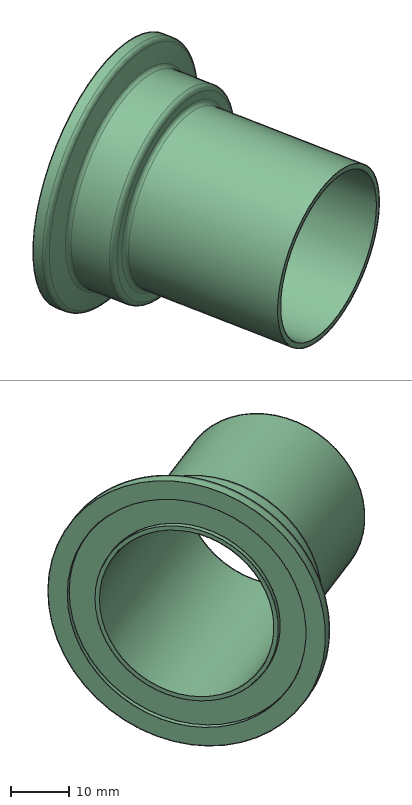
import cadquery as cq
import math

length = 44.0
flange_radius = 25.25
flange_rim_width = 2.7
clamp_angle = 15.0
hub_radius = 20.25
hub_end = 13.3
tube_radius = 16.85
bore_radius = 15.85

outer_round = 0.95
inner_round = 0.8

groove_outer_radius = 21.7
groove_inner_radius = 16.65
groove_depth = 1.0

cone_end = flange_rim_width + (flange_radius - hub_radius) * math.tan(math.radians(clamp_angle))


def ring(outer_radius, inner_radius, width):
    """Flat ring starting at the sealing face and extending along +X."""
    return cq.Workplane("YZ").circle(outer_radius).circle(inner_radius).extrude(width)


def circular_edge_at(body, x, radius):
    """Select the circular edge of the given radius in the plane at x."""
    margin = 0.05
    reach = radius + margin
    box = cq.selectors.BoxSelector(
        (x - margin, -reach, -reach), (x + margin, reach, reach), boundingbox=True
    )
    return body.edges(box).edges(cq.selectors.RadiusNthSelector(-1))


body = (
    cq.Workplane("XY")
    .moveTo(0, bore_radius)
    .lineTo(0, flange_radius)
    .lineTo(flange_rim_width, flange_radius)
    .lineTo(cone_end, hub_radius)
    .lineTo(hub_end, hub_radius)
    .lineTo(hub_end, tube_radius)
    .lineTo(length, tube_radius)
    .lineTo(length, bore_radius)
    .close()
    .revolve(360, (0, 0, 0), (1, 0, 0))
)

rounded_edges = [
    (flange_rim_width, flange_radius, outer_round),
    (cone_end, hub_radius, inner_round),
    (hub_end, hub_radius, outer_round),
    (hub_end, tube_radius, inner_round),
]
for edge_x, edge_radius, round_radius in rounded_edges:
    body = circular_edge_at(body, edge_x, edge_radius).fillet(round_radius)

result = body.cut(ring(groove_outer_radius, groove_inner_radius, groove_depth))